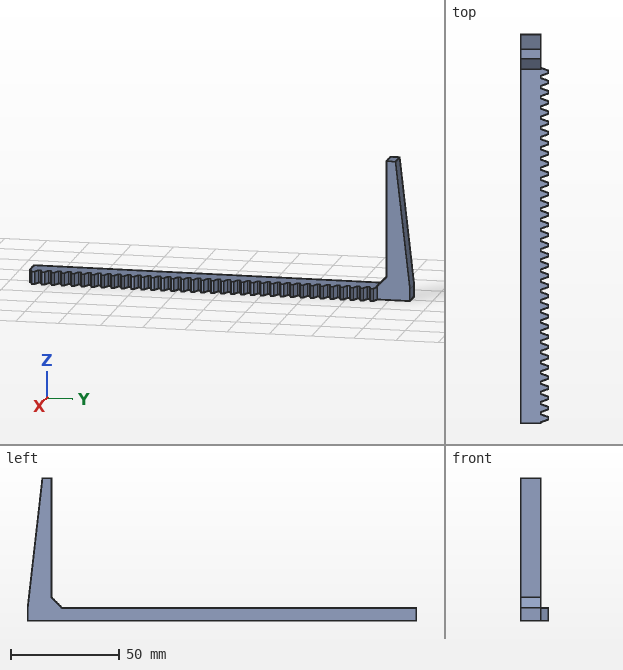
import cadquery as cq
import math

length = 180.0
total_height = 66.0
total_width = 12.8

bar_width = 9.4
bar_height = 6.0
finger_foot_depth = 11.2
finger_tip_depth = 4.3
corner_chamfer = 4.9

tooth_count = 35
rack_length = 165.0
crest_width = 1.3
pressure_angle = math.radians(20)

tooth_pitch = rack_length / tooth_count
tooth_height = total_width - bar_width
root_width = crest_width + 2 * tooth_height * math.tan(pressure_angle)


def make_body():
    """L-shaped bar and tapered finger, drawn in the YZ plane with Y = 0 at the front end."""
    finger_face = length - finger_foot_depth
    return (
        cq.Workplane("YZ")
        .moveTo(0, 0)
        .lineTo(length, 0)
        .lineTo(length, bar_height)
        .lineTo(finger_face + finger_tip_depth, total_height)
        .lineTo(finger_face, total_height)
        .lineTo(finger_face, bar_height + corner_chamfer)
        .lineTo(finger_face - corner_chamfer, bar_height)
        .lineTo(0, bar_height)
        .close()
        .extrude(bar_width)
    )


def make_teeth():
    """Row of trapezoidal teeth as tall as the bar, each centred in its own pitch."""
    centers = [(0, (index + 0.5) * tooth_pitch) for index in range(tooth_count)]
    tooth = (
        cq.Workplane("XY")
        .moveTo(bar_width, -root_width / 2)
        .lineTo(total_width, -crest_width / 2)
        .lineTo(total_width, crest_width / 2)
        .lineTo(bar_width, root_width / 2)
        .close()
        .extrude(bar_height)
        .val()
    )
    return cq.Workplane("XY").pushPoints(centers).eachpoint(lambda place: tooth.moved(place))


result = make_body().union(make_teeth())